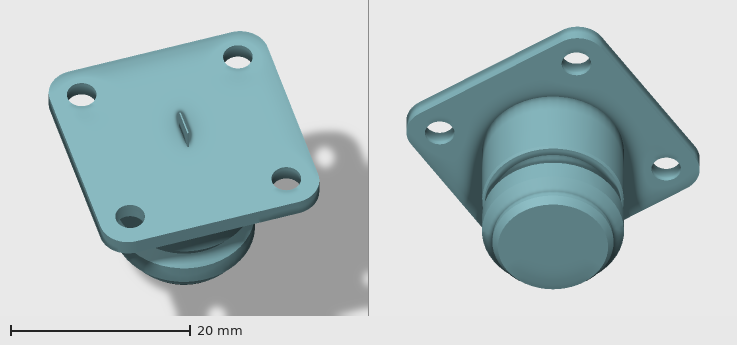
import cadquery as cq

flange_side = 25.4
flange_thickness = 2.0
corner_radius = 3.2
hole_spacing = 18.24
hole_diameter = 3.3

tab_width = 3.1
tab_thickness = 0.15
tab_height = 2.46

total_height = 21.2
body_radius = 7.9
body_chamfer = 0.23
neck_radius = 6.75
collar_radius = 7.92
tip_radius = 6.15

body_end = 10.82
neck_end = 12.42
collar_start = 13.6
collar_end = 16.0
nose_start = 17.15
nose_chamfer_start = 17.9
barrel_end = total_height - tab_height


def make_flange():
    plate = (
        cq.Workplane("XY")
        .box(flange_side, flange_side, flange_thickness, centered=(True, True, False))
        .translate((0, 0, -flange_thickness))
        .edges("|Z")
        .fillet(corner_radius)
    )
    return (
        plate.faces(">Z")
        .workplane()
        .rarray(hole_spacing, hole_spacing, 2, 2)
        .hole(hole_diameter)
    )


def make_barrel():
    profile = [
        (0, -flange_thickness),
        (body_radius, -flange_thickness),
        (body_radius, -body_end + body_chamfer),
        (body_radius - body_chamfer, -body_end),
        (neck_radius, -body_end),
        (neck_radius, -neck_end),
        (collar_radius, -collar_start),
        (collar_radius, -collar_end),
        (neck_radius, -nose_start),
        (neck_radius, -nose_chamfer_start),
        (tip_radius, -barrel_end),
        (0, -barrel_end),
    ]
    return cq.Workplane("XZ").polyline(profile).close().revolve(360, (0, 0, 0), (0, 1, 0))


def make_tab():
    return cq.Workplane("XY").box(tab_width, tab_thickness, tab_height, centered=(True, True, False))


result = make_flange().union(make_barrel()).union(make_tab())